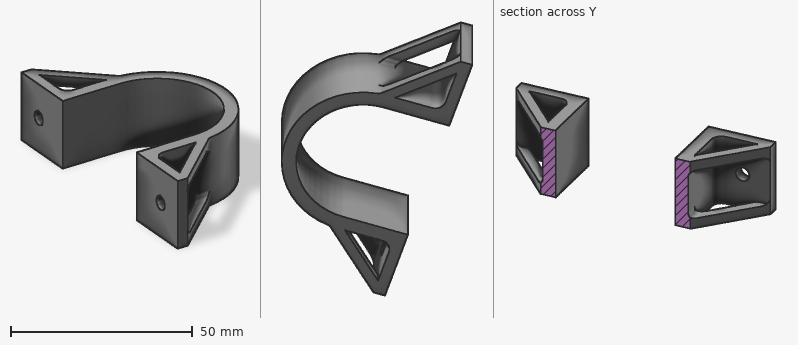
import cadquery as cq
import math

width = 21.0
total_length = 78.07
wall = 4.0
bore_radius = 18.425
leg_length = 19.0
foot_thickness = 3.3

brace_angle = 47.3
brace_thickness = 2.95
pocket_fillet = 3.0
blend_radius = 2.0

window_margin = 3.0
window_corner = 2.0
window_top_y = 6.0
screw_diameter = 4.2
screw_x = 30.45

band_radius = bore_radius + wall
mid_wall_radius = bore_radius + wall / 2
foot_end = total_length / 2
foot_base_y = -leg_length
foot_top_y = foot_base_y + foot_thickness
brace_slope = math.tan(math.radians(brace_angle))
brace_run = brace_thickness / math.sin(math.radians(brace_angle))
mid_z = width / 2


def brace_y(x, start_x):
    """Height at x of a brace face that leaves the foot top at start_x."""
    return foot_top_y + (start_x - x) * brace_slope


def round_edge(body, point, radius):
    """Fillet the edge nearest to a point, with any edges tangent to it."""
    return body.edges(cq.selectors.NearestToPointSelector(point)).fillet(radius)


def make_band():
    """U-shaped strap: half ring with two straight legs."""
    return (
        cq.Workplane("XY")
        .moveTo(-band_radius, foot_base_y)
        .lineTo(-band_radius, 0)
        .threePointArc((0, band_radius), (band_radius, 0))
        .lineTo(band_radius, foot_base_y)
        .lineTo(bore_radius, foot_base_y)
        .lineTo(bore_radius, 0)
        .threePointArc((0, bore_radius), (-bore_radius, 0))
        .lineTo(-bore_radius, foot_base_y)
        .close()
        .extrude(width)
    )


def make_foot():
    """Solid foot and gusset on the +X side, ending inside the band wall."""
    return (
        cq.Workplane("XY")
        .moveTo(mid_wall_radius, foot_base_y)
        .lineTo(foot_end, foot_base_y)
        .lineTo(foot_end, foot_top_y)
        .lineTo(mid_wall_radius, brace_y(mid_wall_radius, foot_end))
        .close()
        .extrude(width)
    )


def make_pocket():
    """Triangular opening between leg, foot and brace."""
    tip_x = foot_end - brace_run
    return (
        cq.Workplane("XY")
        .moveTo(band_radius, foot_top_y)
        .lineTo(tip_x, foot_top_y)
        .lineTo(band_radius, brace_y(band_radius, tip_x))
        .close()
        .extrude(width)
    )


def make_window(band):
    """Opening through the brace, along Y, bounded by the foot and by the outside of the band.

    Its long edges are rounded, including the two that follow the leg and the arc of the band.
    """
    window = (
        cq.Workplane("XY")
        .box(
            foot_end - mid_wall_radius,
            window_top_y - foot_top_y,
            width - 2 * window_margin,
            centered=(False, False, True),
        )
        .translate((mid_wall_radius, foot_top_y, mid_z))
        .cut(band)
    )
    mid_leg_y = foot_top_y / 2
    for z in (window_margin, width - window_margin):
        for x in (band_radius, foot_end):
            window = round_edge(window, (x, mid_leg_y, z), window_corner)
    return window


def make_screw_hole():
    """Screw clearance hole through the foot, along Y."""
    return (
        cq.Workplane("XZ", origin=(screw_x, foot_top_y, mid_z))
        .circle(screw_diameter / 2)
        .extrude(foot_thickness)
    )


band = make_band()
half_space = cq.Workplane("XY").box(foot_end, 2 * foot_end, width, centered=(False, True, False))

half = band.intersect(half_space).union(make_foot())
half = round_edge(half, (band_radius, brace_y(band_radius, foot_end), mid_z), blend_radius)
half = half.cut(make_pocket()).cut(make_window(band))
half = round_edge(half, (band_radius, foot_top_y, mid_z), pocket_fillet)
half = half.cut(make_screw_hole())

result = half.union(half.mirror("YZ"))